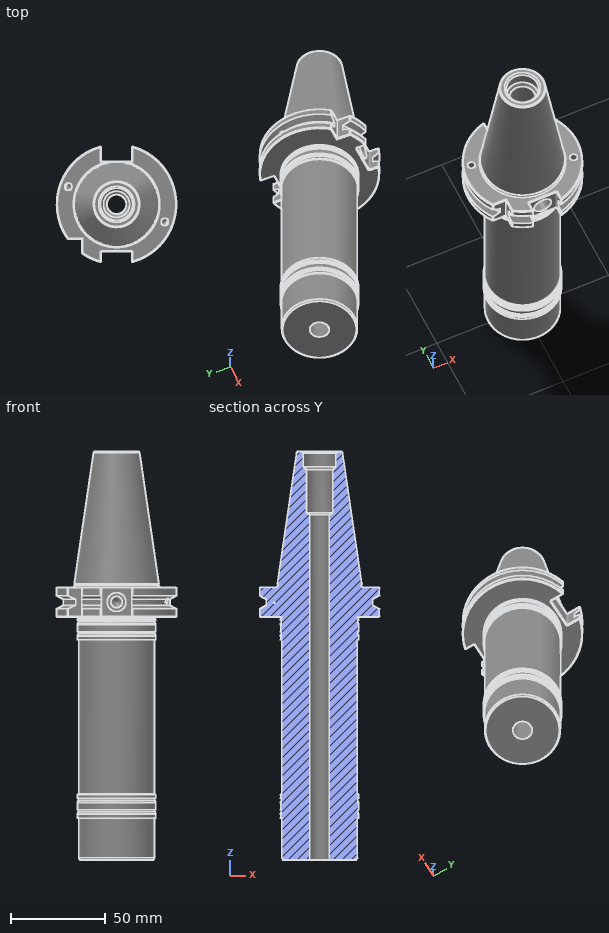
import cadquery as cq
import math

total_height = 215.2
gauge_z = 145.5
flange_top_z = 143.8
flange_bottom_z = 128.0

taper_ratio = 7 / 24
gauge_radius = 22.4
taper_top_radius = gauge_radius - taper_ratio * (total_height - gauge_z) / 2
taper_edge = 0.54
relief_depth = 0.5
relief_height = 0.6
collar_radius = 22.8

body_radius = 20.0
body_edge_width = 0.6
body_edge_height = 1.3

ring_radius = 20.7
ring_edge = 0.5
wide_ring = 4.0
narrow_ring = 2.4
ring_gap = 2.0
ring_gap_radius = 20.2
ring_gap_floor = 0.9
lower_band_z = 22.2
upper_band_z = 116.0
lower_collar_height = 2.4
upper_collar_height = 1.0

flange_radius = 31.6
flange_edge = 0.5
groove_radius = 28.2
groove_z = 135.8
groove_floor_width = 3.0
groove_flank_angle = 30.0

slot_width = 16.1
slot_corner = 0.5
front_floor_y = 25.0
back_floor_y = 22.5
notch_wall = 18.3

flange_hole_radius = 2.0
flange_hole_x = 25.5
flange_hole_y = 9.3
flange_hole_depth = 8.0

key_hole_radius = 5.0
key_hole_depth = 8.6
key_pilot_radius = 3.0
key_pilot_depth = 3.2

bore_radius = 10.1 / 2
thread_radius = 13.8 / 2
thread_depth = 32.3
entry_radius = 17.0 / 2
entry_depth = 8.0
mouth_radius = 19.0 / 2

drill_tip_angle = 118.0


def tip_length(radius):
    """Length of the cone left by a drill of this radius."""
    return radius / math.tan(math.radians(drill_tip_angle / 2))


def revolve(outline):
    """Turn a closed (radius, height) outline about the Z axis."""
    return cq.Workplane("XZ").polyline(outline).close().revolve(360, (0, 0, 0), (0, 1, 0))


def drill(radius, depth, top_z=0.0):
    """Round cutter going down from top_z, ending in a drill tip."""
    outline = [
        (0, top_z),
        (radius, top_z),
        (radius, top_z - depth),
        (0, top_z - depth - tip_length(radius)),
    ]
    return revolve(outline)


def make_ring(bottom_z, height):
    """Ring with a sharp lower rim and a bevelled upper rim."""
    top_z = bottom_z + height
    return revolve([
        (0, bottom_z),
        (ring_radius, bottom_z),
        (ring_radius, top_z - ring_edge),
        (ring_radius - ring_edge, top_z),
        (0, top_z),
    ])


def make_gap(bottom_z):
    """Core of the groove between two rings: a cone topped by a short straight floor."""
    top_z = bottom_z + ring_gap
    return revolve([
        (0, bottom_z),
        (ring_radius, bottom_z),
        (ring_gap_radius, top_z - ring_gap_floor),
        (ring_gap_radius, top_z),
        (0, top_z),
    ])


def make_ring_band(bottom_z, collar_height):
    """Narrow, wide and upper ring stacked upwards with a gap between each pair."""
    band = make_ring(bottom_z, narrow_ring)
    z = bottom_z + narrow_ring
    for height in (wide_ring, collar_height):
        band = band.union(make_gap(z))
        band = band.union(make_ring(z + ring_gap, height))
        z += ring_gap + height
    return band


def make_shank():
    """Solid of revolution: plain body, flare under the taper, and taper."""
    return revolve([
        (0, 0),
        (body_radius - body_edge_width, 0),
        (body_radius, body_edge_height),
        (body_radius, flange_top_z),
        (collar_radius, flange_top_z),
        (gauge_radius - relief_depth, gauge_z - relief_height),
        (gauge_radius, gauge_z),
        (taper_top_radius, total_height - taper_edge),
        (taper_top_radius - taper_edge, total_height),
        (0, total_height),
    ])


def make_flange():
    """Grooved disc with two drive slots and a corner notch."""
    height = flange_top_z - flange_bottom_z
    reach = 2 * flange_radius
    level = cq.Workplane("XY").workplane(offset=flange_bottom_z)
    flange = level.circle(flange_radius).extrude(height)

    for floor_y, outward in ((front_floor_y, -1), (back_floor_y, 1)):
        slot = level.center(0, outward * (floor_y + reach / 2)).rect(slot_width, reach).extrude(height)
        slot = slot.edges("|Z").fillet(slot_corner)
        flange = flange.cut(slot)
    notch_middle = -notch_wall - reach / 2
    flange = flange.cut(level.center(notch_middle, notch_middle).rect(reach, reach).extrude(height))

    margin = slot_corner + flange_edge
    around_floors = cq.selectors.BoxSelector(
        (-slot_width / 2 - margin, -front_floor_y - margin, 0),
        (slot_width / 2 + margin, back_floor_y + margin, total_height))
    around_notch_corner = cq.selectors.BoxSelector(
        (-notch_wall - margin, -notch_wall - margin, 0),
        (-notch_wall + margin, -notch_wall + margin, total_height))
    kept_sharp = cq.selectors.SumSelector(around_floors, around_notch_corner)
    flange = flange.edges(cq.selectors.InverseSelector(kept_sharp)).chamfer(flange_edge)

    outside = flange_radius + flange_edge
    floor_half = groove_floor_width / 2
    mouth_half = floor_half + (outside - groove_radius) * math.tan(math.radians(groove_flank_angle))
    return flange.cut(revolve([
        (groove_radius, groove_z - floor_half),
        (outside, groove_z - mouth_half),
        (outside, groove_z + mouth_half),
        (groove_radius, groove_z + floor_half),
    ]))


def cut_flange_holes(shape):
    """Two opposite blind holes that break into the V groove."""
    cutter = drill(flange_hole_radius, flange_hole_depth, flange_top_z)
    for side in (-1, 1):
        shape = shape.cut(cutter.translate((side * flange_hole_x, -side * flange_hole_y, 0)))
    return shape


def cut_key_hole(shape):
    """Counterbore and blind pilot hole, drilled inwards from the front slot floor."""
    counterbore = cq.Workplane("XY").circle(key_hole_radius).extrude(-key_hole_depth)
    cutter = counterbore.union(drill(key_pilot_radius, key_hole_depth + key_pilot_depth))
    cutter = cutter.rotate((0, 0, 0), (1, 0, 0), 90)
    slot_middle_z = (flange_top_z + flange_bottom_z) / 2
    return shape.cut(cutter.translate((0, -front_floor_y, slot_middle_z)))


def make_bore():
    """Through bore widened towards the small end of the taper."""
    mouth_depth = mouth_radius - entry_radius
    shoulder_depth = entry_radius - thread_radius
    thread_end_z = total_height - thread_depth
    return revolve([
        (0, 0),
        (bore_radius, 0),
        (bore_radius, thread_end_z - tip_length(thread_radius - bore_radius)),
        (thread_radius, thread_end_z),
        (thread_radius, total_height - entry_depth - shoulder_depth),
        (entry_radius, total_height - entry_depth),
        (entry_radius, total_height - mouth_depth),
        (mouth_radius, total_height),
        (0, total_height),
    ])


result = make_shank()
result = result.union(make_ring_band(lower_band_z, lower_collar_height))
result = result.union(make_ring_band(upper_band_z, upper_collar_height))
result = result.union(make_flange())
result = cut_flange_holes(result)
result = cut_key_hole(result)
result = result.cut(make_bore())